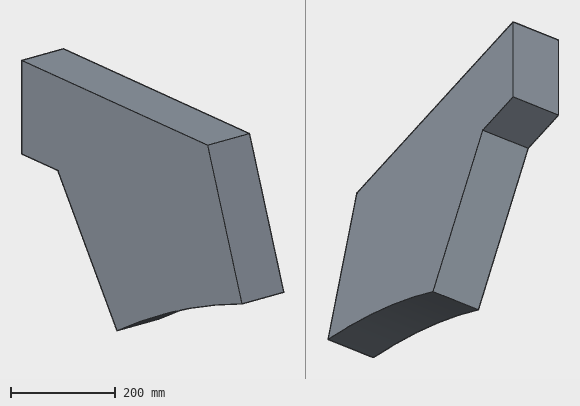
import cadquery as cq
import math

length = 683.79
thickness = 101.6
height = 463.93

top_edge = 577.3

nose_height = 191.5
nose_underside = 112.0

left_lean = math.radians(34.0)
right_lean = math.radians(20.0)

underside_radius = 1720.0

left_corner = (nose_underside + (height - nose_height) * math.tan(left_lean), -height)
right_corner = (length, -(length - top_edge) / math.tan(right_lean))


def arc_midpoint(start, end, radius):
    """Middle of the shallow arc that bulges upward between two points, start left of end."""
    run = end[0] - start[0]
    rise = end[1] - start[1]
    chord = math.hypot(run, rise)
    bulge = radius - math.sqrt(radius**2 - (chord / 2) ** 2)
    middle_x = (start[0] + end[0]) / 2 - bulge * rise / chord
    middle_z = (start[1] + end[1]) / 2 + bulge * run / chord
    return (middle_x, middle_z)


def make_plate():
    """Flat profile in the XZ plane, extruded evenly to both sides of it."""
    profile = (
        cq.Workplane("XZ")
        .moveTo(0, 0)
        .lineTo(top_edge, 0)
        .lineTo(*right_corner)
        .threePointArc(arc_midpoint(left_corner, right_corner, underside_radius), left_corner)
        .lineTo(nose_underside, -nose_height)
        .lineTo(0, -nose_height)
        .close()
    )
    return profile.extrude(thickness / 2, both=True)


result = make_plate()